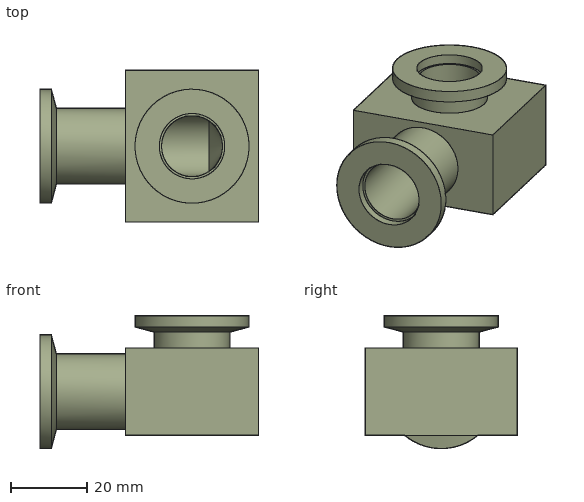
import cadquery as cq
import math

flange_diameter = 30.0
rim_thickness = 3.0
flange_back_angle = 15.0
tube_diameter = 20.0
bore_diameter = 16.0
recess_diameter = 17.2
recess_depth = 2.5
drill_point_angle = 118.0

side_port_reach = 40.0
top_port_reach = 20.0

side_bore_depth = 44.5
top_bore_depth = 19.5

block_length = 35.0
block_width = 40.0
block_height = 23.0

side_face = cq.Plane(origin=(-side_port_reach, 0, 0), xDir=(0, 1, 0), normal=(1, 0, 0))
top_face = cq.Plane(origin=(0, 0, top_port_reach), xDir=(1, 0, 0), normal=(0, 0, -1))


def revolve_profile(face, points):
    """Revolve (radius, depth) points about the port axis; depth runs inward from the face."""
    profile_normal = face.xDir.cross(face.zDir)
    profile_plane = cq.Plane(origin=face.origin, xDir=face.xDir, normal=profile_normal)
    return cq.Workplane(profile_plane).polyline(points).close().revolve(360, (0, 0), (0, 1))


def flanged_tube(face, reach):
    """Solid tube from the port face to the axis crossing, with a tapered-back flange."""
    flange_radius = flange_diameter / 2
    tube_radius = tube_diameter / 2
    taper_length = (flange_radius - tube_radius) * math.tan(math.radians(flange_back_angle))
    return revolve_profile(face, [
        (0, 0),
        (flange_radius, 0),
        (flange_radius, rim_thickness),
        (tube_radius, rim_thickness + taper_length),
        (tube_radius, reach),
        (0, reach),
    ])


def port_bore(face, bore_depth):
    """Blind drilled bore with a conical end and a shallow recess at its mouth."""
    bore_radius = bore_diameter / 2
    recess_radius = recess_diameter / 2
    point_length = bore_radius / math.tan(math.radians(drill_point_angle / 2))
    return revolve_profile(face, [
        (0, 0),
        (recess_radius, 0),
        (recess_radius, recess_depth),
        (bore_radius, recess_depth),
        (bore_radius, bore_depth),
        (0, bore_depth + point_length),
    ])


block = cq.Workplane("XY").box(block_length, block_width, block_height)
body = block.union(flanged_tube(side_face, side_port_reach))
body = body.union(flanged_tube(top_face, top_port_reach))

result = body.cut(port_bore(side_face, side_bore_depth)).cut(port_bore(top_face, top_bore_depth))